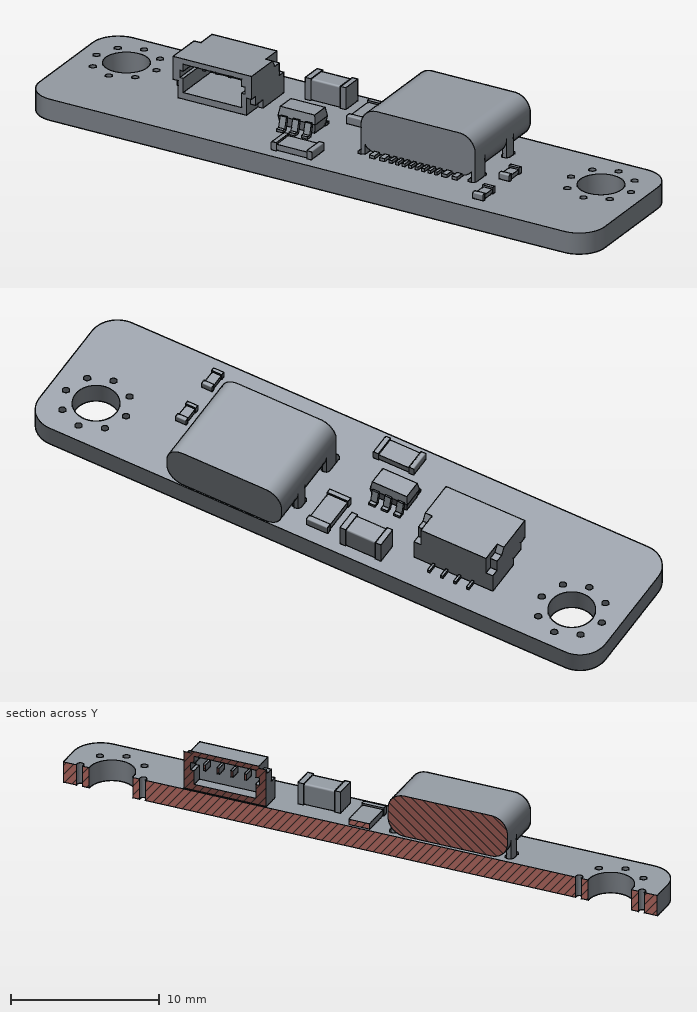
import cadquery as cq
BOARD_LENGTH = 44
BOARD_WIDTH = 11
BOARD_THICKNESS = 1.6
BOARD_CORNER_RADIUS = 2.0
TOTAL_HEIGHT = 4.85

MOUNT_X = 18.5
MOUNT_Y = 2.0
MOUNT_DIAMETER = 3.2
VIA_DIAMETER = 0.5
VIA_RING_RADIUS = 2.35
VIA_COUNT = 8

STANDOFF = 0.05
PART_BASE = BOARD_THICKNESS + STANDOFF

USB_X = 6.45
USB_WIDTH = 8.9
USB_FRONT_Y = -1.8
USB_CORNER_RADIUS = 1.25
USB_CLEARANCE = 0.15
USB_LEG_THICKNESS = 0.3
USB_LEG_TOP = BOARD_THICKNESS + USB_CLEARANCE + USB_CORNER_RADIUS
USB_FRONT_LEG = 1.3
USB_BACK_LEG = 0.92
BACK_LEG_Y = 2.8
USB_LEGS = (
    (USB_FRONT_Y + USB_FRONT_LEG / 2, USB_FRONT_LEG),
    (BACK_LEG_Y, USB_BACK_LEG),
)
SLOT_WIDTH = 0.65
SLOTS = ((-1.28, 1.8), (BACK_LEG_Y, 1.2))
USB_WIDE_PINS = (2.4, 3.2)
USB_WIDE_PIN_WIDTH = 0.4
USB_NARROW_PIN_WIDTH = 0.2
USB_NARROW_PIN_COUNT = 8
USB_NARROW_PIN_PITCH = 3.5 / (USB_NARROW_PIN_COUNT - 1)
USB_PIN_REACH = 0.65
USB_PIN_ROOT = 0.45
USB_PIN_HEIGHT = 0.2

WIRE_X = -10.05
WIRE_WIDTH = 6.1
WIRE_FRONT_Y = -1.0
WIRE_BACK_Y = 3.25
WIRE_HEIGHT = 3.0
CAVITY_WIDTH = 4.55
CAVITY_BOTTOM = 0.5
CAVITY_HEIGHT = 2.1
CAVITY_DEPTH = 3.65
KEYWAY_WIDTH = 5.05
KEYWAY_BOTTOM = 1.55
KEYWAY_HEIGHT = 0.55
REAR_NOTCH_DEPTH = 0.55
REAR_NOTCH_STEPS_Y = (2.7, 2.05, 1.75)
REAR_NOTCH_STEPS_Z = (1.55, 2.45)
FRONT_NOTCH_DEPTH = 0.4
FRONT_NOTCH_STEPS_Y = (-0.5, 0.5)
FRONT_NOTCH_STEPS_Z = (1.28, 0.6)
CONTACT_COUNT = 4
CONTACT_PITCH = 1.0
CONTACT_WIDTH = 0.18
CONTACT_BOTTOM = 1.65
CONTACT_HEIGHT = 0.5
CONTACT_LENGTH = 2.2
TAIL_REACH = 0.7
TAIL_HEIGHT = 0.2

CHIP_X = -3.15
CHIP_Y = -0.7
CHIP_LENGTH = 2.9
CHIP_WIDTH = 1.65
CHIP_BOTTOM = 0.18
CHIP_PARTING = 0.9
CHIP_TOP = 1.55
CHIP_DRAFT = 10
LEAD_WIDTH = 0.5
LEAD_PITCH = 0.95
LEAD_THICKNESS = 0.18
LEAD_ROOT = 0.35
LEAD_SHOULDER = 0.92
LEAD_HEEL = 1.15
LEAD_TOE = 1.4
LEADS_PER_SIDE = 3

CAP_X = -3.65
CAP_Y = 3.9
CAP_LENGTH = 3.15
CAP_WIDTH = 1.6
CAP_HEIGHT = 1.65
CAP_TERMINAL = 0.45
CAP_INSET = 0.05
CAP_EDGE_RADIUS = 0.15

LARGE_RESISTOR = {"length": 3.15, "width": 1.65, "height": 0.6, "terminal": 0.4}
SMALL_RESISTOR = {"length": 1.65, "width": 0.8, "height": 0.5, "terminal": 0.3}
RESISTORS = (
    (-1.65, -3.9, 0, LARGE_RESISTOR),
    (-0.1, 2.8, 90, LARGE_RESISTOR),
    (12.65, -0.1, 90, SMALL_RESISTOR),
    (12.65, -3.55, 90, SMALL_RESISTOR),
)
CLIP_THICKNESS = 0.15
SLAB_LIFT = 0.05
CLIP_RADIUS = 0.1
SLAB_INSET = 0.05


def block(x, y, z):
    """Box given by its (low, high) limits along each axis."""
    size = (x[1] - x[0], y[1] - y[0], z[1] - z[0])
    return cq.Workplane("XY").box(*size, centered=False).translate((x[0], y[0], z[0]))


def span(middle, length):
    """Limits of a length centred on a middle."""
    return (middle - length / 2, middle + length / 2)


def row(count, pitch):
    """Evenly spaced offsets, centred on zero."""
    return [(i - (count - 1) / 2) * pitch for i in range(count)]


def leg_x(side):
    """Middle of the receptacle legs on one side (-1 or 1)."""
    return USB_X + side * (USB_WIDTH - USB_LEG_THICKNESS) / 2


def make_board():
    mounts = [(-MOUNT_X, MOUNT_Y), (MOUNT_X, MOUNT_Y)]
    board = (
        cq.Workplane("XY")
        .box(BOARD_LENGTH, BOARD_WIDTH, BOARD_THICKNESS, centered=(True, True, False))
        .edges("|Z")
        .fillet(BOARD_CORNER_RADIUS)
    )
    drilled = cq.Workplane("XY").pushPoints(mounts).circle(MOUNT_DIAMETER / 2).extrude(BOARD_THICKNESS)
    board = board.cut(drilled)
    for mount in mounts:
        vias = (
            cq.Workplane("XY")
            .center(*mount)
            .polarArray(VIA_RING_RADIUS, 0, 360, VIA_COUNT)
            .circle(VIA_DIAMETER / 2)
            .extrude(BOARD_THICKNESS)
        )
        board = board.cut(vias)
    for slot_y, slot_length in SLOTS:
        slots = (
            cq.Workplane("XY")
            .pushPoints([(leg_x(side), slot_y) for side in (-1, 1)])
            .slot2D(slot_length, SLOT_WIDTH, 90)
            .extrude(BOARD_THICKNESS)
        )
        board = board.cut(slots)
    return board


def make_usb():
    shell_bottom = BOARD_THICKNESS + USB_CLEARANCE
    shell_y = (USB_FRONT_Y, BOARD_WIDTH / 2)
    shell = block(span(USB_X, USB_WIDTH), shell_y, (shell_bottom, TOTAL_HEIGHT))
    shell = shell.edges("|Y").fillet(USB_CORNER_RADIUS)
    for side in (-1, 1):
        for leg_y, leg_length in USB_LEGS:
            leg = block(span(leg_x(side), USB_LEG_THICKNESS), span(leg_y, leg_length), (0, USB_LEG_TOP))
            shell = shell.union(leg)
    pins = [(offset, USB_NARROW_PIN_WIDTH) for offset in row(USB_NARROW_PIN_COUNT, USB_NARROW_PIN_PITCH)]
    for offset in USB_WIDE_PINS:
        pins += [(-offset, USB_WIDE_PIN_WIDTH), (offset, USB_WIDE_PIN_WIDTH)]
    for offset, width in pins:
        pin = block(
            span(USB_X + offset, width),
            (USB_FRONT_Y - USB_PIN_REACH, USB_FRONT_Y + USB_PIN_ROOT),
            (PART_BASE, PART_BASE + USB_PIN_HEIGHT),
        )
        shell = shell.union(pin)
    return shell


def make_wire_connector():
    base = PART_BASE
    top = base + WIRE_HEIGHT
    cavity_y = (WIRE_FRONT_Y, WIRE_FRONT_Y + CAVITY_DEPTH)
    housing = block(span(WIRE_X, WIRE_WIDTH), (WIRE_FRONT_Y, WIRE_BACK_Y), (base, top))
    cavity_z = (base + CAVITY_BOTTOM, base + CAVITY_BOTTOM + CAVITY_HEIGHT)
    housing = housing.cut(block(span(WIRE_X, CAVITY_WIDTH), cavity_y, cavity_z))
    keyway_z = (base + KEYWAY_BOTTOM, base + KEYWAY_BOTTOM + KEYWAY_HEIGHT)
    housing = housing.cut(block(span(WIRE_X, KEYWAY_WIDTH), cavity_y, keyway_z))

    step_y, slope_foot_y, slope_top_y = REAR_NOTCH_STEPS_Y
    low_ledge, high_ledge = [base + height for height in REAR_NOTCH_STEPS_Z]
    rear_notch = [
        (WIRE_BACK_Y, low_ledge), (step_y, low_ledge), (step_y, high_ledge),
        (slope_foot_y, high_ledge), (slope_top_y, top), (WIRE_BACK_Y, top),
    ]
    upper_y, lower_y = FRONT_NOTCH_STEPS_Y
    upper_z, lower_z = [base + height for height in FRONT_NOTCH_STEPS_Z]
    front_notch = [
        (WIRE_FRONT_Y, base), (lower_y, base), (lower_y, lower_z),
        (upper_y, lower_z), (upper_y, upper_z), (WIRE_FRONT_Y, upper_z),
    ]
    for outline, depth in ((rear_notch, REAR_NOTCH_DEPTH), (front_notch, FRONT_NOTCH_DEPTH)):
        for side in (-1, 1):
            wall_x = WIRE_X + side * WIRE_WIDTH / 2
            notch = cq.Workplane("YZ").polyline(outline).close().extrude(-side * depth)
            housing = housing.cut(notch.translate((wall_x, 0, 0)))

    for offset in row(CONTACT_COUNT, CONTACT_PITCH):
        x = span(WIRE_X + offset, CONTACT_WIDTH)
        blade_z = (base + CONTACT_BOTTOM, base + CONTACT_BOTTOM + CONTACT_HEIGHT)
        blade = block(x, (cavity_y[1] - CONTACT_LENGTH, WIRE_BACK_Y), blade_z)
        tail = block(x, (cavity_y[1], WIRE_BACK_Y + TAIL_REACH), (base, base + TAIL_HEIGHT))
        housing = housing.union(blade).union(tail)
    return housing


def make_lead():
    """Gull-wing lead that leaves the side of the chip toward +Y."""
    shoulder_z = CHIP_PARTING + LEAD_THICKNESS / 2
    underside_z = shoulder_z - LEAD_THICKNESS
    inner_heel = LEAD_HEEL - LEAD_THICKNESS
    inner_shoulder = LEAD_SHOULDER - LEAD_THICKNESS
    outline = [
        (LEAD_ROOT, shoulder_z), (LEAD_SHOULDER, shoulder_z), (LEAD_HEEL, LEAD_THICKNESS),
        (LEAD_TOE, LEAD_THICKNESS), (LEAD_TOE, 0), (inner_heel, 0),
        (inner_shoulder, underside_z), (LEAD_ROOT, underside_z),
    ]
    return cq.Workplane("YZ").polyline(outline).close().extrude(LEAD_WIDTH / 2, both=True)


def make_chip():
    parting = cq.Workplane("XY").workplane(offset=CHIP_PARTING)
    upper = parting.rect(CHIP_LENGTH, CHIP_WIDTH).extrude(CHIP_TOP - CHIP_PARTING, taper=CHIP_DRAFT)
    lower = parting.rect(CHIP_LENGTH, CHIP_WIDTH).extrude(CHIP_BOTTOM - CHIP_PARTING, taper=CHIP_DRAFT)
    chip = upper.union(lower)
    lead = make_lead()
    for offset in row(LEADS_PER_SIDE, LEAD_PITCH):
        for turn in (0, 180):
            chip = chip.union(lead.rotate((0, 0, 0), (0, 0, 1), turn).translate((offset, 0, 0)))
    return chip.translate((CHIP_X, CHIP_Y, PART_BASE))


def make_capacitor():
    core_z = (CAP_INSET, CAP_HEIGHT - CAP_INSET)
    capacitor = block(
        span(0, CAP_LENGTH - CAP_TERMINAL), span(0, CAP_WIDTH - 2 * CAP_INSET), core_z
    ).edges("|X and >Z").fillet(CAP_EDGE_RADIUS)
    for side in (-1, 1):
        middle = side * (CAP_LENGTH - CAP_TERMINAL) / 2
        terminal = block(span(middle, CAP_TERMINAL), span(0, CAP_WIDTH), (0, CAP_HEIGHT))
        capacitor = capacitor.union(terminal)
    return capacitor.translate((CAP_X, CAP_Y, PART_BASE))


def make_resistor(length, width, height, terminal):
    """Ceramic slab with a metal clip around each end, lying along X."""
    resistor = block(
        span(0, length - 2 * CLIP_THICKNESS),
        span(0, width - 2 * SLAB_INSET),
        (SLAB_LIFT, height - CLIP_THICKNESS),
    )
    for side in (-1, 1):
        middle = side * (length - terminal) / 2
        outer_edges = "|Y and >X" if side > 0 else "|Y and <X"
        clip = (
            block(span(middle, terminal), span(0, width), (0, height))
            .edges(outer_edges)
            .fillet(CLIP_RADIUS)
        )
        resistor = resistor.union(clip)
    return resistor


board = make_board()
usb = make_usb()
wire_connector = make_wire_connector()
chip = make_chip()
capacitor = make_capacitor()
resistors = [
    make_resistor(**size).rotate((0, 0, 0), (0, 0, 1), turn).translate((x, y, PART_BASE))
    for x, y, turn, size in RESISTORS
]

result = cq.Compound.makeCompound(
    [
        board.val(),
        usb.val(),
        wire_connector.val(),
        chip.val(),
        capacitor.val(),
        *[resistor.val() for resistor in resistors],
    ]
)